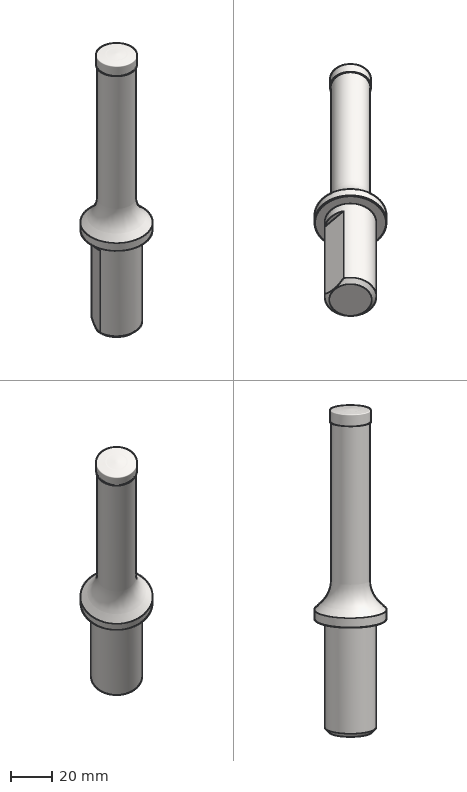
import cadquery as cq
import math

total_length = 161.0

shank_diameter = 25.0
shank_length = 56.0
shank_chamfer = 2.25
flat_depth = 2.0
flat_to_flange = 5.0

flange_diameter = 35.0
flange_thickness = 5.0
flange_chamfer = 0.4

neck_diameter = 19.0
flare_radius = 16.0
flare_angle = 45.0

head_diameter = 20.0
head_length = 6.5
head_corner_radius = 0.4
rim_drop = 0.6
ring_diameter = 10.2
ring_width = 0.5
ring_drop = 0.3
center_flat_diameter = 1.2

shank_radius = shank_diameter / 2
flange_radius = flange_diameter / 2
neck_radius = neck_diameter / 2
head_radius = head_diameter / 2
ring_outer_radius = (ring_diameter + ring_width) / 2
ring_inner_radius = (ring_diameter - ring_width) / 2


def flare_radius_at(angle):
    """Distance from the axis to the flare arc, a given angle past the neck."""
    return neck_radius + flare_radius * (1 - math.cos(math.radians(angle)))


def flare_drop_at(angle):
    """Fall along the flare arc from the neck, a given angle past the neck."""
    return flare_radius * math.sin(math.radians(angle))


cone_top_radius = flare_radius_at(flare_angle)
cone_height = (flange_radius - cone_top_radius) * math.tan(math.radians(flare_angle))

flange_top = shank_length + flange_thickness
cone_top = flange_top + cone_height
flare_top = cone_top + flare_drop_at(flare_angle)
head_bottom = total_length - head_length
rim_top = total_length - rim_drop
ring_level = total_length - ring_drop


def make_holder():
    """Turned shank, flange, flare and neck, with a clamping flat on the -Y side."""
    arc_middle = (flare_radius_at(flare_angle / 2), flare_top - flare_drop_at(flare_angle / 2))
    turned = (
        cq.Workplane("XZ")
        .moveTo(0, 0)
        .lineTo(shank_radius - shank_chamfer, 0)
        .lineTo(shank_radius, shank_chamfer)
        .lineTo(shank_radius, shank_length)
        .lineTo(flange_radius - flange_chamfer, shank_length)
        .lineTo(flange_radius, shank_length + flange_chamfer)
        .lineTo(flange_radius, flange_top)
        .lineTo(cone_top_radius, cone_top)
        .threePointArc(arc_middle, (neck_radius, flare_top))
        .lineTo(neck_radius, head_bottom)
        .lineTo(0, head_bottom)
        .close()
        .revolve(360, (0, 0, 0), (0, 1, 0))
    )
    flat_length = shank_length - flat_to_flange
    flat_cut = (
        cq.Workplane("XY")
        .box(shank_diameter, flat_depth, flat_length, centered=(True, False, False))
        .translate((0, -shank_radius, 0))
    )
    return turned.cut(flat_cut)


def make_head():
    """Cutting head on the end of the neck, with a shallow domed end face and a narrow flat ring in it."""
    return (
        cq.Workplane("XZ")
        .moveTo(0, head_bottom)
        .lineTo(head_radius, head_bottom)
        .lineTo(head_radius, rim_top - head_corner_radius)
        .radiusArc((head_radius - head_corner_radius, rim_top), -head_corner_radius)
        .lineTo(ring_outer_radius, ring_level)
        .lineTo(ring_inner_radius, ring_level)
        .lineTo(center_flat_diameter / 2, total_length)
        .lineTo(0, total_length)
        .close()
        .revolve(360, (0, 0, 0), (0, 1, 0))
    )


holder = make_holder()
head = make_head()
result = cq.Compound.makeCompound([holder.val(), head.val()])